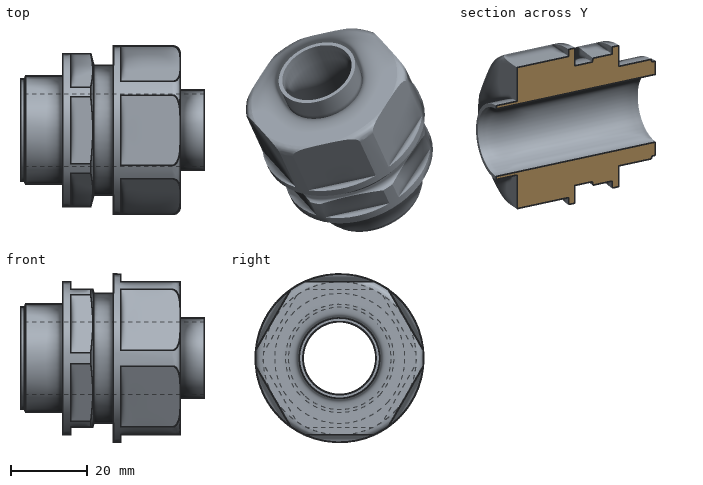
import cadquery as cq

lip_end = 1.0
thread_start = 1.35
body_flange_start = 11.0
body_flange_end = 13.1
body_hex_end = 19.1
nut_flange_start = 24.2
nut_flange_end = 26.2
nut_end = 41.7
overall_length = 48.0

bore_diameter = 19.0
tube_diameter = 21.0
lip_diameter = 26.78
thread_diameter = 28.3
neck_diameter = 34.0
body_diameter = 40.0
nut_diameter = 44.0

body_across_flats = 36.0
nut_across_flats = 40.0

body_chamfer_radial = (body_diameter - neck_diameter) / 2
body_chamfer_axial = 0.8
nut_edge_radius = 2.0

FLAT_COUNT = 6
FLAT_PITCH = 360.0 / FLAT_COUNT


def cylinder(start, end, diameter):
    """Solid cylinder along X between two stations."""
    plane = cq.Workplane("YZ", origin=(start, 0, 0))
    return plane.circle(diameter / 2).extrude(end - start)


def cut_hex_flats(body, start, end, across_flats, diameter):
    """Mill six flats into a round body, one pair of them facing +Z and -Z."""
    depth = (diameter - across_flats) / 2
    cutter = cq.Workplane("XY").box(
        end - start, diameter, depth, centered=(False, True, False)
    ).translate((start, 0, across_flats / 2))
    for index in range(FLAT_COUNT):
        body = body.cut(cutter.rotate((0, 0, 0), (1, 0, 0), index * FLAT_PITCH))
    return body


def make_threaded_end():
    """Plain thread cylinder with a smaller lip and a conical lead-in."""
    profile = [
        (0, 0),
        (0, lip_diameter / 2),
        (lip_end, lip_diameter / 2),
        (thread_start, thread_diameter / 2),
        (body_flange_start, thread_diameter / 2),
        (body_flange_start, 0),
    ]
    return cq.Workplane("XY").polyline(profile).close().revolve(360, (0, 0, 0), (1, 0, 0))


def make_body():
    """Round flange followed by a hexagon with a conical end chamfer."""
    body = cylinder(body_flange_start, body_hex_end, body_diameter)
    body = body.faces(">X").chamfer(body_chamfer_axial, body_chamfer_radial)
    return cut_hex_flats(body, body_flange_end, body_hex_end, body_across_flats, body_diameter)


def make_nut():
    """Round flange followed by a hexagon with a rounded outer end."""
    nut = cylinder(nut_flange_start, nut_end, nut_diameter)
    nut = nut.faces(">X").edges().fillet(nut_edge_radius)
    return cut_hex_flats(nut, nut_flange_end, nut_end, nut_across_flats, nut_diameter)


neck = cylinder(body_hex_end, nut_flange_start, neck_diameter)
tube = cylinder(nut_end, overall_length, tube_diameter)
bore = cylinder(0, overall_length, bore_diameter)

result = make_threaded_end().union(make_body()).union(neck).union(make_nut()).union(tube).cut(bore)